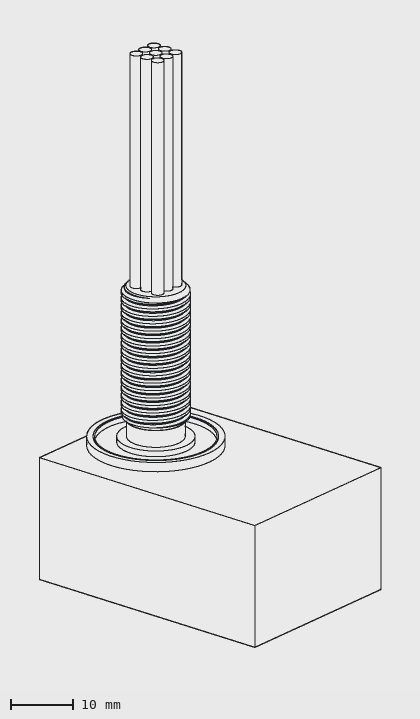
import cadquery as cq
import math

TOTAL_HEIGHT = 88.5

BLOCK_LENGTH = 44.5
BLOCK_WIDTH = 31.5
BLOCK_HEIGHT = 21.0

FLANGE_DIAMETER = 22.0
FLANGE_THICKNESS = 1.6
STEP_DIAMETER = 20.0
STEP_DEPTH = 0.1
RECESS_DIAMETER = 19.5
RECESS_DEPTH = 1.0
HUB_DIAMETER = 12.5

AXIS_X = FLANGE_DIAMETER / 2
AXIS_Y = BLOCK_WIDTH / 2

NECK_DIAMETER = 9.4
THREAD_DIAMETER = 11.1
THREAD_DEPTH = 0.5
THREAD_CHAMFER = 0.75
THREAD_LENGTH = 23.0
THREAD_TURNS = 18
THREAD_PITCH = THREAD_LENGTH / THREAD_TURNS
THREAD_PHASE = 335.0
FLANK_ANGLE = 30.0
ROOT_WIDTH = 0.2
GROOVE_OVERSHOOT = 0.1

WIRE_DIAMETER = 2.0
WIRE_SPACING = 2.2
WIRES_PER_SIDE = 3
WIRE_LENGTH = 40.0

FLANGE_TOP = BLOCK_HEIGHT + FLANGE_THICKNESS
THREAD_TOP = TOTAL_HEIGHT - WIRE_LENGTH
THREAD_BOTTOM = THREAD_TOP - THREAD_LENGTH


def cylinder(diameter, bottom, top):
    """Upright cylinder on the stem axis."""
    base = cq.Workplane("XY", origin=(AXIS_X, AXIS_Y, bottom))
    return base.circle(diameter / 2).extrude(top - bottom)


def make_block():
    return cq.Workplane("XY").box(BLOCK_LENGTH, BLOCK_WIDTH, BLOCK_HEIGHT, centered=False)


def make_flange():
    disc = cylinder(FLANGE_DIAMETER, BLOCK_HEIGHT, FLANGE_TOP)
    recess = cylinder(RECESS_DIAMETER, FLANGE_TOP - RECESS_DEPTH, FLANGE_TOP)
    step = cylinder(STEP_DIAMETER, FLANGE_TOP - STEP_DEPTH, FLANGE_TOP)
    hub = cylinder(HUB_DIAMETER, BLOCK_HEIGHT, FLANGE_TOP)
    return disc.cut(recess).cut(step).union(hub)


def make_thread():
    """Rod chamfered at both ends, with a right-hand helical groove cut into it."""
    rod = cylinder(THREAD_DIAMETER, THREAD_BOTTOM, THREAD_TOP)
    rod = rod.faces("<Z or >Z").chamfer(THREAD_CHAMFER)

    root_radius = THREAD_DIAMETER / 2 - THREAD_DEPTH
    mouth_radius = THREAD_DIAMETER / 2 + GROOVE_OVERSHOOT
    flank_slope = math.tan(math.radians(FLANK_ANGLE))
    root_half = ROOT_WIDTH / 2
    mouth_half = root_half + (mouth_radius - root_radius) * flank_slope

    helix = cq.Wire.makeHelix(THREAD_PITCH, THREAD_PITCH, root_radius)
    one_turn = (
        cq.Workplane("XZ")
        .polyline([
            (root_radius, -root_half),
            (mouth_radius, -mouth_half),
            (mouth_radius, mouth_half),
            (root_radius, root_half),
        ])
        .close()
        .sweep(cq.Workplane(helix), isFrenet=True)
        .rotate((0, 0, 0), (0, 0, 1), THREAD_PHASE)
        .translate((AXIS_X, AXIS_Y, THREAD_BOTTOM - THREAD_PITCH))
    )

    turn_count = THREAD_TURNS + 2
    turns = [one_turn.translate((0, 0, turn * THREAD_PITCH)).val() for turn in range(turn_count)]
    return cq.Workplane(rod.val().cut(*turns))


def make_wires():
    base = cq.Workplane("XY", origin=(AXIS_X, AXIS_Y, THREAD_TOP))
    grid = base.rarray(WIRE_SPACING, WIRE_SPACING, WIRES_PER_SIDE, WIRES_PER_SIDE)
    return grid.circle(WIRE_DIAMETER / 2).extrude(WIRE_LENGTH)


result = make_block().union(make_flange())
result = result.union(cylinder(NECK_DIAMETER, FLANGE_TOP, THREAD_BOTTOM))
result = result.union(make_thread()).union(make_wires())